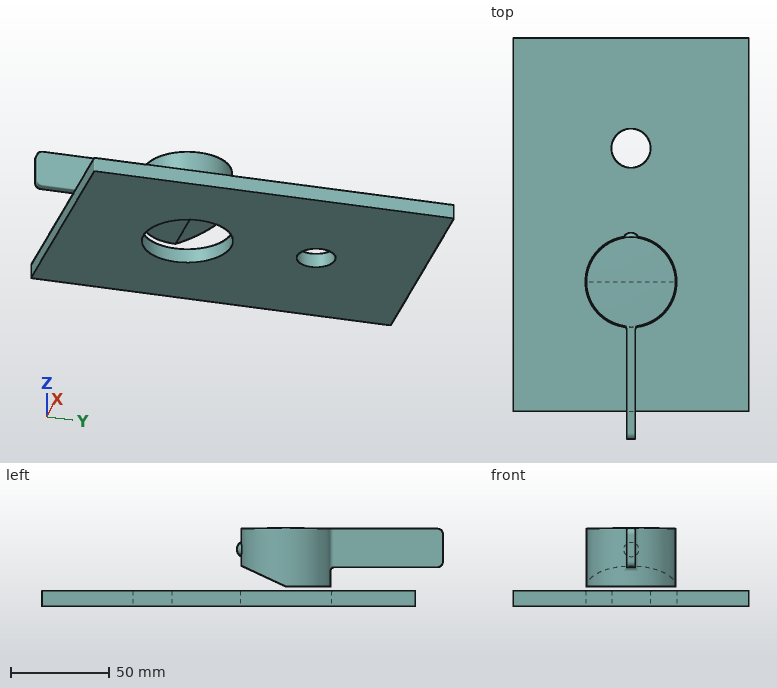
import cadquery as cq
import math

PLATE_WIDTH = 120.0
PLATE_LENGTH = 190.0
PLATE_THICKNESS = 8.0
PLATE_FRONT_Y = -65.9

KNOB_CLEARANCE = 0.5
SMALL_HOLE_DIAMETER = 19.8
SMALL_HOLE_Y = 68.0

EDGE_ROUND = 0.5

KNOB_DIAMETER = 45.5
KNOB_RADIUS = KNOB_DIAMETER / 2
KNOB_BOTTOM_Z = 10.0
KNOB_RIM_Z = 39.5
OVERALL_HEIGHT = 40.0
UNDERSIDE_ANGLE = 25

LEVER_REACH = 80.0
LEVER_THICKNESS = 4.5
LEVER_HEIGHT = 19.8
LEVER_TIP_RADIUS = 3.0
LEVER_ROOT_RADIUS = 1.8

BUTTON_RADIUS = 3.7
BUTTON_PROJECTION = 2.2
BUTTON_Z = 29.0


def make_plate():
    """Rectangular plate with a knob opening and a small hole, upper edges rounded."""
    plate = (
        cq.Workplane("XY")
        .box(PLATE_WIDTH, PLATE_LENGTH, PLATE_THICKNESS, centered=(True, False, False))
        .translate((0, PLATE_FRONT_Y, 0))
        .edges("|Z")
        .fillet(EDGE_ROUND)
    )
    openings = (
        cq.Workplane("XY")
        .circle(KNOB_RADIUS + KNOB_CLEARANCE)
        .moveTo(0, SMALL_HOLE_Y)
        .circle(SMALL_HOLE_DIAMETER / 2)
        .extrude(PLATE_THICKNESS)
    )
    return plate.cut(openings).faces(">Z").edges().fillet(EDGE_ROUND)


def make_knob_with_lever():
    """Flat-topped knob and lever blade, blended at the root, with rounded edges."""
    knob = (
        cq.Workplane("XY", origin=(0, 0, KNOB_BOTTOM_Z))
        .circle(KNOB_RADIUS)
        .extrude(KNOB_RIM_Z - KNOB_BOTTOM_Z)
    )
    blade = (
        cq.Workplane("YZ")
        .rect(LEVER_REACH, LEVER_HEIGHT)
        .extrude(LEVER_THICKNESS / 2, both=True)
        .translate((0, -LEVER_REACH / 2, KNOB_RIM_Z - LEVER_HEIGHT / 2))
        .edges("|X and <Y")
        .fillet(LEVER_TIP_RADIUS)
    )
    zone_half_width = LEVER_THICKNESS
    root_zone = cq.selectors.BoxSelector(
        (-zone_half_width, -KNOB_RADIUS - EDGE_ROUND, KNOB_BOTTOM_Z + EDGE_ROUND),
        (zone_half_width, -KNOB_RADIUS + EDGE_ROUND, KNOB_RIM_Z - EDGE_ROUND),
    )
    body = knob.union(blade).edges(root_zone).fillet(LEVER_ROOT_RADIUS)
    return body.faces(">Z").edges().fillet(EDGE_ROUND)


def make_underside_wedge():
    """Material removed below the back half of the knob."""
    wedge_length = 2 * KNOB_RADIUS
    wedge_rise = wedge_length * math.tan(math.radians(UNDERSIDE_ANGLE))
    return (
        cq.Workplane("YZ")
        .moveTo(0, KNOB_BOTTOM_Z)
        .lineTo(wedge_length, KNOB_BOTTOM_Z)
        .lineTo(wedge_length, KNOB_BOTTOM_Z + wedge_rise)
        .close()
        .extrude(2 * KNOB_RADIUS, both=True)
    )


def cap_sphere_radius(base_radius, height):
    """Radius of the sphere whose cap has the given base radius and height."""
    return (base_radius**2 + height**2) / (2 * height)


def make_dome():
    """Very shallow spherical cap on the flat top of the knob."""
    base_radius = KNOB_RADIUS - EDGE_ROUND
    sphere_radius = cap_sphere_radius(base_radius, OVERALL_HEIGHT - KNOB_RIM_Z)
    center_z = OVERALL_HEIGHT - sphere_radius
    half_way = base_radius / 2
    half_way_z = center_z + math.sqrt(sphere_radius**2 - half_way**2)
    return (
        cq.Workplane("XZ")
        .moveTo(0, KNOB_RIM_Z)
        .lineTo(base_radius, KNOB_RIM_Z)
        .threePointArc((half_way, half_way_z), (0, OVERALL_HEIGHT))
        .close()
        .revolve(360, (0, 0), (0, 1))
    )


def make_button():
    """Sphere sunk into the back of the knob so that only a cap stands out."""
    sphere_radius = cap_sphere_radius(BUTTON_RADIUS, BUTTON_PROJECTION)
    center_y = KNOB_RADIUS + BUTTON_PROJECTION - sphere_radius
    return cq.Workplane("XY").sphere(sphere_radius).translate((0, center_y, BUTTON_Z))


def make_handle():
    """Knob, lever, dome and button in one piece."""
    body = make_knob_with_lever().cut(make_underside_wedge())
    return body.union(make_dome()).union(make_button())


plate = make_plate()
handle = make_handle()
result = cq.Compound.makeCompound([plate.val(), handle.val()])